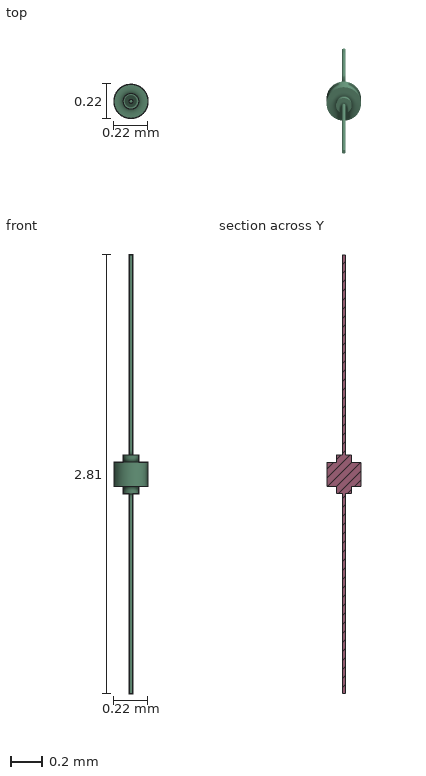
import cadquery as cq

TOTAL_LENGTH = 2.81
WIRE_DIAMETER = 0.025
BODY_DIAMETER = 0.22
BODY_LENGTH = 0.157
COLLAR_DIAMETER = 0.10
COLLAR_SPAN = 0.25


def centred_cylinder(diameter, length):
    """Cylinder along the Z axis, centred on the origin."""
    return cq.Workplane("XY").cylinder(length, diameter / 2)


wire = centred_cylinder(WIRE_DIAMETER, TOTAL_LENGTH)
collars = centred_cylinder(COLLAR_DIAMETER, COLLAR_SPAN)
body = centred_cylinder(BODY_DIAMETER, BODY_LENGTH)

result = body.union(collars).union(wire)